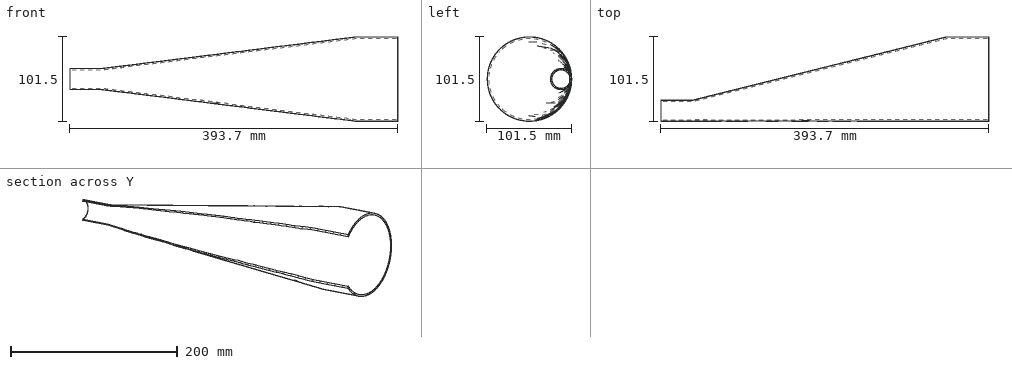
import cadquery as cq

total_length = 393.7
small_tube_length = 38.0
large_tube_length = 50.8
small_outer_diameter = 25.5
small_bore_diameter = 22.0
large_outer_diameter = 101.5
large_bore_diameter = 97.2

cone_length = total_length - small_tube_length - large_tube_length
cone_end = small_tube_length + cone_length

small_axis_y = -(large_outer_diameter - small_outer_diameter) / 2


def reducer_body(small_diameter, large_diameter):
    """Solid small cylinder, slanted cone and large cylinder, in line along X."""
    small_cylinder = (
        cq.Workplane("YZ")
        .center(small_axis_y, 0)
        .circle(small_diameter / 2)
        .extrude(small_tube_length)
    )
    slanted_cone = (
        cq.Workplane("YZ", origin=(small_tube_length, 0, 0))
        .center(small_axis_y, 0)
        .circle(small_diameter / 2)
        .workplane(offset=cone_length)
        .center(-small_axis_y, 0)
        .circle(large_diameter / 2)
        .loft(ruled=True)
    )
    large_cylinder = (
        cq.Workplane("YZ", origin=(cone_end, 0, 0))
        .circle(large_diameter / 2)
        .extrude(large_tube_length)
    )
    return small_cylinder.union(slanted_cone).union(large_cylinder)


outer_body = reducer_body(small_outer_diameter, large_outer_diameter)
bore = reducer_body(small_bore_diameter, large_bore_diameter)

result = outer_body.cut(bore)